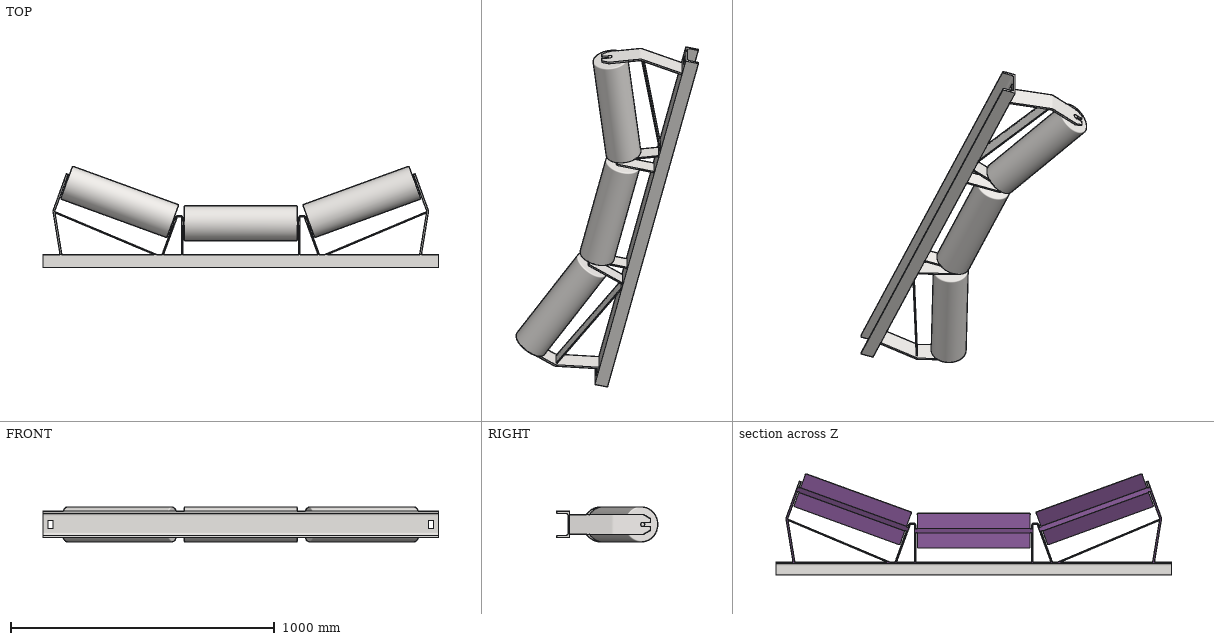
import cadquery as cq
import math

beam_length = 1500.0
beam_depth = 50.0
beam_height = 100.0
web_thickness = 6.0
flange_thickness = 9.0
root_radius = 9.0
toe_radius = 5.0
mount_hole_width = 18.0
mount_hole_height = 30.0
mount_hole_inset = 28.0

roller_diameter = 134.0
roller_length = 429.0
roller_edge_radius = 5.0
roller_tilt = 20.0
centre_roller_y = 168.0
side_roller_x = 459.0
side_roller_y = 249.0
shaft_diameter = 16.0
roller_gap = 5.0

outer_width = 75.0
inner_width = 60.0
outer_thickness = 8.0
inner_thickness = 6.0
outer_foot_x = 685.0
outer_bend_y = 215.0
outer_bend_radius = 10.0
outer_tip_reach = 32.0
tip_chamfer_length = 27.0
tip_chamfer_depth = 15.0
inner_top_y = 198.0
inner_bend_radius = 12.0

brace_width = 54.0
brace_thickness = 5.0
brace_foot_x = 318.0

tilt = math.radians(roller_tilt)
axis = (math.cos(tilt), math.sin(tilt))
rise = (-math.sin(tilt), math.cos(tilt))
plate_offset = roller_length / 2 + roller_gap
outer_face = plate_offset + outer_thickness
inner_face = plate_offset + inner_thickness
slot_cut_length = 4 * outer_thickness
slot_cut_height = 2 * outer_tip_reach


def side_point(along, up):
    """Point at given distances along and across the right roller axis."""
    return (
        side_roller_x + along * axis[0] + up * rise[0],
        side_roller_y + along * axis[1] + up * rise[1],
    )


def tilted_plane_point(along, y):
    """Point at height y on the plane across the right roller axis."""
    up = (y - side_roller_y - along * axis[1]) / rise[1]
    return side_point(along, up)


def plate(points, width):
    """Plate with an XY profile, centred on Z = 0."""
    return cq.Workplane("XY").polyline(points).close().extrude(width / 2, both=True)


def along_x(diameter, start, end):
    return cq.Workplane("YZ").workplane(offset=start).circle(diameter / 2).extrude(end - start)


def round_edge(body, direction, point, radius):
    """Fillet the edge in the given direction whose middle is nearest to a point."""
    return body.edges(direction).edges(cq.NearestToPointSelector(point)).fillet(radius)


def round_bend(body, corner, radius):
    return round_edge(body, "|Z", (*corner, 0), radius)


def make_beam():
    web_face = beam_depth - web_thickness
    outside = beam_height / 2
    inside = outside - flange_thickness
    beam = (
        cq.Workplane("YZ")
        .polyline([
            (0, -outside), (beam_depth, -outside), (beam_depth, outside), (0, outside),
            (0, inside), (web_face, inside), (web_face, -inside), (0, -inside),
        ])
        .close()
        .extrude(beam_length / 2, both=True)
    )
    for z in (-inside, inside):
        beam = round_edge(beam, "|X", (0, web_face, z), root_radius)
        beam = round_edge(beam, "|X", (0, 0, z), toe_radius)
    hole_x = beam_length / 2 - mount_hole_inset
    holes = (
        cq.Workplane("XZ")
        .pushPoints([(-hole_x, 0), (hole_x, 0)])
        .rect(mount_hole_width, mount_hole_height)
        .extrude(-beam_depth)
    )
    return beam.cut(holes)


def shaft_slot(centre, tilt_angle):
    """Cutter for an open slot through a plate: round at the shaft, straight upward from it."""
    seat = along_x(shaft_diameter, -slot_cut_length / 2, slot_cut_length / 2)
    mouth = cq.Workplane("XY").box(
        slot_cut_length, slot_cut_height, shaft_diameter, centered=(True, False, True)
    )
    return seat.union(mouth).rotate((0, 0, 0), (0, 0, 1), tilt_angle).translate((*centre, 0))


def clip_tip_corners(bracket):
    """Bevel both corners at the upper end of the outer bracket."""
    tip = cq.Plane(origin=(*side_point(outer_face, outer_tip_reach), 0), xDir=(*rise, 0), normal=(*axis, 0))
    for edge in (-outer_width / 2, outer_width / 2):
        bevelled = edge - math.copysign(tip_chamfer_depth, edge)
        corner = (
            cq.Workplane(tip)
            .polyline([(0, edge), (-tip_chamfer_length, edge), (0, bevelled)])
            .close()
            .extrude(2 * outer_thickness, both=True)
        )
        bracket = bracket.cut(corner)
    return bracket


def make_outer_bracket():
    outer_bend = tilted_plane_point(outer_face, outer_bend_y)
    lean = math.atan2(outer_bend[0] - outer_foot_x, outer_bend_y - beam_depth)
    foot_thickness = outer_thickness / math.cos(lean)
    bend_rise = outer_thickness * math.tan((tilt + lean) / 2)
    inner_bend = (
        outer_bend[0] - outer_thickness * axis[0] + bend_rise * rise[0],
        outer_bend[1] - outer_thickness * axis[1] + bend_rise * rise[1],
    )
    bracket = plate(
        [
            (outer_foot_x, beam_depth),
            outer_bend,
            side_point(outer_face, outer_tip_reach),
            side_point(plate_offset, outer_tip_reach),
            inner_bend,
            (outer_foot_x - foot_thickness, beam_depth),
        ],
        outer_width,
    )
    bracket = round_bend(bracket, outer_bend, outer_bend_radius + outer_thickness)
    bracket = round_bend(bracket, inner_bend, outer_bend_radius)
    bracket = clip_tip_corners(bracket)
    bracket = bracket.cut(shaft_slot(side_point(outer_face, 0), roller_tilt))
    return bracket.union(make_brace(inner_bend))


def make_brace(bend):
    """Flat strip from the beam up to the inside of the outer bracket's bend."""
    head_x = bend[0] + outer_thickness / 2
    angle = math.atan2(bend[1] - beam_depth, head_x - brace_foot_x)
    foot_length = brace_thickness / math.sin(angle)
    head_height = brace_thickness / math.cos(angle)
    return plate(
        [
            (brace_foot_x, beam_depth),
            (head_x, bend[1]),
            (head_x, bend[1] - head_height),
            (brace_foot_x + foot_length, beam_depth),
        ],
        brace_width,
    )


def make_inner_bracket():
    """Folded plate: a tilted leg for the outer roller and an upright leg for the centre roller."""
    underside = inner_top_y - inner_thickness
    tilted_top = tilted_plane_point(-plate_offset, inner_top_y)
    upright_top = (plate_offset, inner_top_y)
    bracket = plate(
        [
            tilted_plane_point(-plate_offset, beam_depth),
            tilted_top,
            upright_top,
            (plate_offset, beam_depth),
            (inner_face, beam_depth),
            (inner_face, underside),
            tilted_plane_point(-inner_face, underside),
            tilted_plane_point(-inner_face, beam_depth),
        ],
        inner_width,
    )
    for corner in (tilted_top, upright_top):
        bracket = round_bend(bracket, corner, inner_bend_radius)
    bracket = bracket.cut(shaft_slot(side_point(-plate_offset, 0), roller_tilt))
    return bracket.cut(shaft_slot((plate_offset, centre_roller_y), 0))


def make_frame():
    frame = make_beam()
    for bracket in (make_outer_bracket(), make_inner_bracket()):
        frame = frame.union(bracket).union(bracket.mirror("YZ"))
    return frame


def make_roller():
    roller = along_x(roller_diameter, -roller_length / 2, roller_length / 2)
    roller = roller.edges().fillet(roller_edge_radius)
    return roller.cut(along_x(shaft_diameter, -roller_length, roller_length))


def place(body, station):
    """Move a body from the X axis to the left (-1), centre (0) or right (1) roller station."""
    if station == 0:
        return body.translate((0, centre_roller_y, 0))
    placed = body.rotate((0, 0, 0), (0, 0, 1), roller_tilt).translate((side_roller_x, side_roller_y, 0))
    return placed if station == 1 else placed.mirror("YZ")


frame = make_frame()
bodies = [frame.val()]
for station in (-1, 0, 1):
    shaft_end = inner_face if station == 0 else outer_face
    bodies.append(place(make_roller(), station).val())
    bodies.append(place(along_x(shaft_diameter, -inner_face, shaft_end), station).val())

result = cq.Compound.makeCompound(bodies)